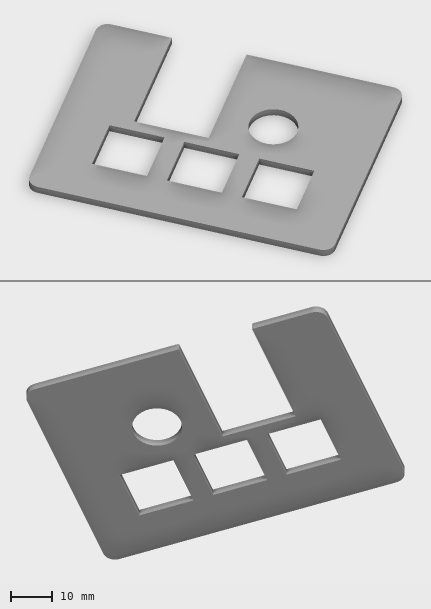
import cadquery as cq

plate_length = 77.0
plate_width = 58.45
plate_thickness = 2.0
corner_radius = 3.0

notch_left = -20.25
notch_width = 18.8
notch_depth = 30.0

key_size = 13.85
key_pitch = 18.9
key_count = 3
key_row_centre_x = 0.3
key_row_centre_y = -10.8

knob_diameter = 12.0
knob_x = 12.2
knob_y = 7.55


def through_box(length, width, x, y):
    """Rectangular cutter as tall as the plate, centred at (x, y)."""
    return (
        cq.Workplane("XY")
        .center(x, y)
        .rect(length, width)
        .extrude(plate_thickness)
    )


def make_plate():
    return (
        cq.Workplane("XY")
        .rect(plate_length, plate_width)
        .extrude(plate_thickness)
        .edges("|Z")
        .fillet(corner_radius)
    )


def cut_notch(body):
    centre_x = notch_left + notch_width / 2
    centre_y = (plate_width - notch_depth) / 2
    return body.cut(through_box(notch_width, notch_depth, centre_x, centre_y))


def cut_keys(body):
    for index in range(key_count):
        offset = (index - (key_count - 1) / 2) * key_pitch
        key_x = key_row_centre_x + offset
        body = body.cut(through_box(key_size, key_size, key_x, key_row_centre_y))
    return body


def cut_knob_hole(body):
    cutter = (
        cq.Workplane("XY")
        .center(knob_x, knob_y)
        .circle(knob_diameter / 2)
        .extrude(plate_thickness)
    )
    return body.cut(cutter)


result = cut_knob_hole(cut_keys(cut_notch(make_plate())))